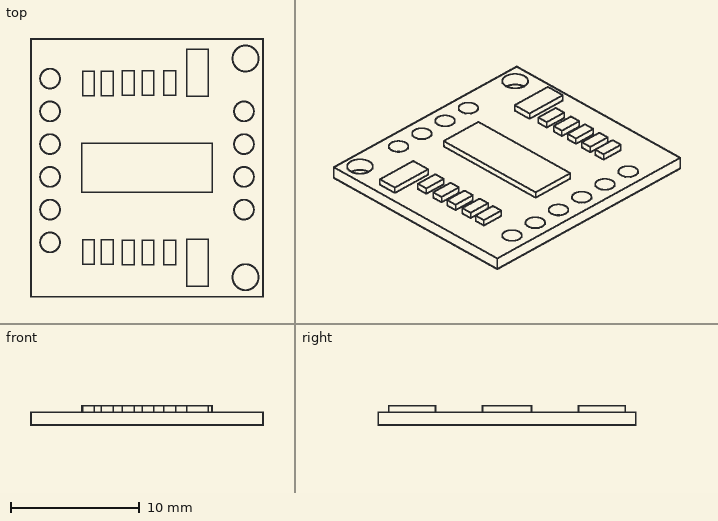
import cadquery as cq

board_width = 18
board_length = 20
board_thickness = 1
component_height = 0.5

pin_pitch = 2.55
pin_hole_diameter = 1.52
pin_row_x = 7.52
first_pin_y = -5.78
left_pins = range(6)
right_pins = range(1, 5)

mount_hole_diameter = 2
mount_x = 7.65
mount_y = 8.48

chip_width = 10.12
chip_length = 3.8
large_width = 1.65
large_length = 3.65
large_x = 3.92
large_y = 7.35
small_width = 0.92
small_length = 1.9
small_y = 6.55
inner_small_y = 6.58
outer_small_xs = [-4.55, -3.08]
inner_small_xs = [-1.45, 0.08, 1.75]


def component(width, length, x, y):
    """A rectangular block standing on the board's upper face."""
    return (
        cq.Workplane("XY", origin=(x, y, board_thickness))
        .rect(width, length)
        .extrude(component_height)
    )


def drill(body, diameter, points):
    """Through holes of one diameter at the given board positions."""
    holes = (
        cq.Workplane("XY")
        .pushPoints(points)
        .circle(diameter / 2)
        .extrude(board_thickness)
    )
    return body.cut(holes)


result = cq.Workplane("XY").box(board_width, board_length, board_thickness, centered=(True, True, False))

left_points = [(-pin_row_x, first_pin_y + i * pin_pitch) for i in left_pins]
right_points = [(pin_row_x, first_pin_y + i * pin_pitch) for i in right_pins]
result = drill(result, pin_hole_diameter, left_points + right_points)
result = drill(result, mount_hole_diameter, [(mount_x, -mount_y), (mount_x, mount_y)])

result = result.union(component(chip_width, chip_length, 0, 0))
for side in (-1, 1):
    result = result.union(component(large_width, large_length, large_x, side * large_y))
    for x in outer_small_xs:
        result = result.union(component(small_width, small_length, x, side * small_y))
    for x in inner_small_xs:
        result = result.union(component(small_width, small_length, x, side * inner_small_y))